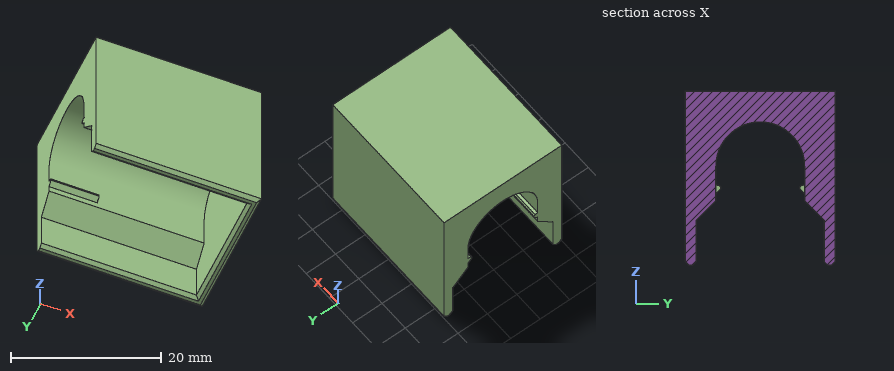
import cadquery as cq

LENGTH = 24.0
WIDTH = 20.0
HEIGHT = 23.23
END_WALL = 1.5
SIDE_WALL = 1.5
CHAMFER = 0.5

ARCH_RADIUS = 5.9
ARCH_TOP = 19.1
SHOULDER_TOP = 8.6
CHANNEL_HALF_WIDTH = WIDTH / 2 - SIDE_WALL
SHOULDER_BOTTOM = SHOULDER_TOP - (CHANNEL_HALF_WIDTH - ARCH_RADIUS)
ARCH_CENTER = ARCH_TOP - ARCH_RADIUS
CAVITY_DEPTH = LENGTH - END_WALL

RIB_LENGTH = 7.0
RIB_TOP = 10.75
RIB_PROJECTION = 0.65
RIB_BEVEL = 0.2
RIB_TOP_FALL = 0.1
RIB_NOSE_HEIGHT = 0.25
RIB_ROOT = 0.3


def make_block():
    """Outer block with its bottom edges chamfered, except at the open end."""
    block = cq.Workplane("XY").box(LENGTH, WIDTH, HEIGHT, centered=(False, True, False))
    return block.faces("<Z").edges("not <X").chamfer(CHAMFER)


def make_cavity():
    """Arched channel, flared at its mouth by the inner bottom chamfer."""
    channel = (
        cq.Workplane("YZ")
        .moveTo(-CHANNEL_HALF_WIDTH, 0)
        .lineTo(-CHANNEL_HALF_WIDTH, SHOULDER_BOTTOM)
        .lineTo(-ARCH_RADIUS, SHOULDER_TOP)
        .lineTo(-ARCH_RADIUS, ARCH_CENTER)
        .threePointArc((0, ARCH_TOP), (ARCH_RADIUS, ARCH_CENTER))
        .lineTo(ARCH_RADIUS, SHOULDER_TOP)
        .lineTo(CHANNEL_HALF_WIDTH, SHOULDER_BOTTOM)
        .lineTo(CHANNEL_HALF_WIDTH, 0)
        .close()
        .extrude(CAVITY_DEPTH)
    )
    mouth_length = CAVITY_DEPTH + CHAMFER
    mouth_width = 2 * (CHANNEL_HALF_WIDTH + CHAMFER)
    mouth = (
        cq.Workplane("XY")
        .box(mouth_length, mouth_width, 2 * CHAMFER, centered=(False, True, True))
        .faces(">Z")
        .edges("not <X")
        .chamfer(CHAMFER)
    )
    return channel.union(mouth)


def make_rib():
    """Rib on the +Y wall: gently sloping top, beveled corner, upright nose and a 45 degree underside."""
    root_y = ARCH_RADIUS + RIB_ROOT
    nose_y = ARCH_RADIUS - RIB_PROJECTION
    bevel_top = RIB_TOP - RIB_TOP_FALL
    nose_top = bevel_top - RIB_BEVEL
    nose_bottom = nose_top - RIB_NOSE_HEIGHT
    underside_z = nose_bottom - RIB_PROJECTION
    profile = [
        (root_y, RIB_TOP),
        (ARCH_RADIUS, RIB_TOP),
        (nose_y + RIB_BEVEL, bevel_top),
        (nose_y, nose_top),
        (nose_y, nose_bottom),
        (ARCH_RADIUS, underside_z),
        (root_y, underside_z),
    ]
    return cq.Workplane("YZ").polyline(profile).close().extrude(RIB_LENGTH)


rib = make_rib()
result = make_block().cut(make_cavity()).union(rib).union(rib.mirror("XZ"))